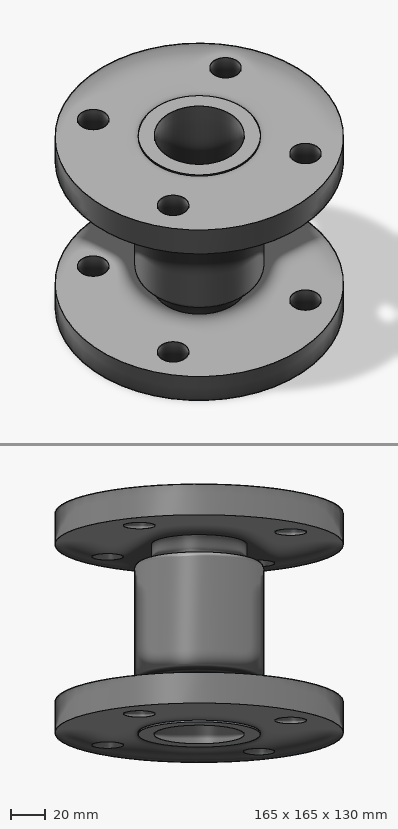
import cadquery as cq

total_height = 130.0
flange_diameter = 165.0
bore_diameter = 51.5

flange_thickness = 18.0
raised_face_diameter = 70.0
raised_face_height = 1.0
seat_level = total_height / 2 - raised_face_height
flange_gap = 2 * (seat_level - flange_thickness)

bolt_circle_diameter = 125.0
bolt_hole_diameter = 18.0
bolt_hole_count = 4
first_bolt_angle = 45.0

neck_diameter = 54.8
body_diameter = 74.0
body_height = 69.0
edge_radius = 3.0


def centered_cylinder(diameter, height):
    """Cylinder on the Z axis, centred on the origin."""
    return cq.Workplane("XY").cylinder(height, diameter / 2)


def make_core():
    """Neck between the flanges with the thicker body around it."""
    neck = centered_cylinder(neck_diameter, flange_gap)
    body = centered_cylinder(body_diameter, body_height)
    shoulders = neck.union(body).faces("|Z and (not (<Z or >Z))")
    return shoulders.edges().fillet(edge_radius)


def make_upper_flange():
    """Flange disc with its raised face flush with the top of the part."""
    disc = (
        cq.Workplane("XY", origin=(0, 0, seat_level - flange_thickness))
        .circle(flange_diameter / 2)
        .extrude(flange_thickness)
    )
    raised_face = (
        cq.Workplane("XY", origin=(0, 0, seat_level))
        .circle(raised_face_diameter / 2)
        .extrude(raised_face_height)
    )
    return disc.union(raised_face)


def make_bolt_holes():
    """Cutters for the bolt holes through both flanges."""
    return (
        cq.Workplane("XY")
        .polarArray(bolt_circle_diameter / 2, first_bolt_angle, 360, bolt_hole_count)
        .circle(bolt_hole_diameter / 2)
        .extrude(total_height / 2, both=True)
    )


upper_flange = make_upper_flange()
lower_flange = upper_flange.mirror("XY")

result = (
    make_core()
    .union(upper_flange)
    .union(lower_flange)
    .cut(make_bolt_holes())
    .cut(centered_cylinder(bore_diameter, total_height))
)